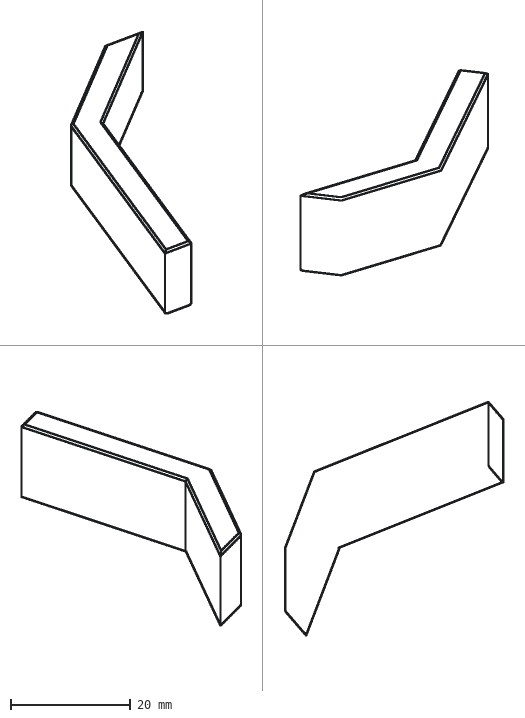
import cadquery as cq
import math

length = 47.65
depth = 20.9
height = 15.0
wall = 5.0
bend_angle = 45.0
top_chamfer = 0.4
edge_radius = 0.52

bend = math.radians(bend_angle)
inner_bend_x = (depth - wall) / math.tan(bend)
outer_bend_x = inner_bend_x - wall * math.tan(bend / 2)
left_face_y = outer_bend_x * math.tan(bend)

inner_tip = (0, depth)
outer_tip = (0, left_face_y)
outer_bend = (outer_bend_x, 0)
outer_end = (length, 0)
inner_end = (length, wall)
inner_bend = (inner_bend_x, wall)


def bent_bar():
    """Constant-thickness bar with its left end cut square to X."""
    outline = [inner_tip, outer_tip, outer_bend, outer_end, inner_end, inner_bend]
    return cq.Workplane("XY").polyline(outline).close().extrude(height)


def edge_at(start, end):
    """Selector for the edge whose midpoint lies halfway between two points."""
    midpoint = [(a + b) / 2 for a, b in zip(start, end)]
    return cq.selectors.NearestToPointSelector(tuple(midpoint))


def round_edges(bar):
    """Round the two outer corners and every bottom edge except the right end."""
    edges = []
    for x, y in (outer_tip, outer_bend):
        edges.extend(bar.edges(edge_at((x, y, 0), (x, y, height))).vals())
    rounded_path = (inner_end, inner_bend, inner_tip, outer_tip, outer_bend, outer_end)
    for start, end in zip(rounded_path, rounded_path[1:]):
        edges.extend(bar.edges(edge_at((*start, 0), (*end, 0))).vals())
    return bar.newObject(edges).fillet(edge_radius)


result = round_edges(bent_bar()).faces(">Z").edges().chamfer(top_chamfer)